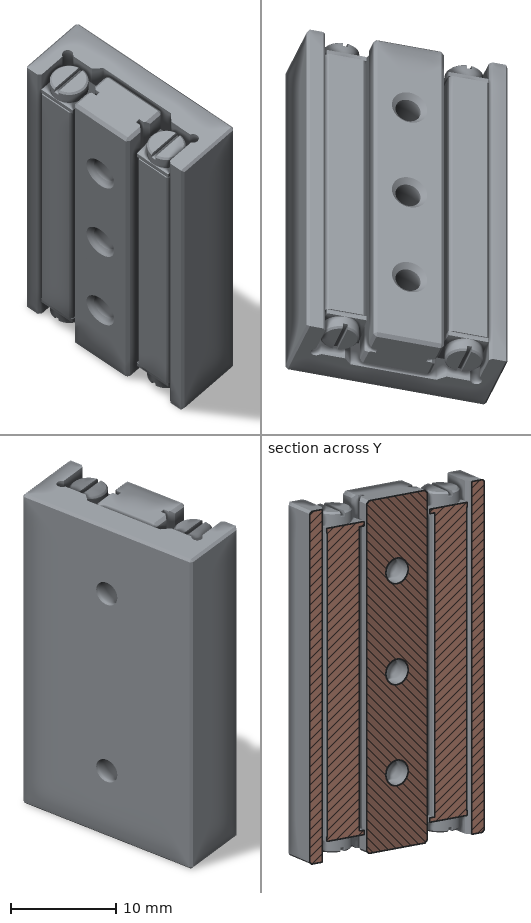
import cadquery as cq

LENGTH = 35.0
CARRIAGE_WIDTH = 20.0
CARRIAGE_DEPTH = 7.5
TOTAL_DEPTH = 8.0
CARRIAGE_CHAMFER = 0.25

BACK_Y = TOTAL_DEPTH / 2
LEG_Y = BACK_Y - CARRIAGE_DEPTH

LEG_THICKNESS = 1.85
CHANNEL_DEPTH = 4.0
CHANNEL_HALF_WIDTH = CARRIAGE_WIDTH / 2 - LEG_THICKNESS
CHANNEL_ROOF_Y = LEG_Y + CHANNEL_DEPTH
LEG_INNER_CHAMFER = 0.28
RECESS_DEPTH = 0.77
RECESS_HALF_WIDTH = 4.27
RELIEF_RADIUS = 0.52
RELIEF_OFFSET = 0.18
RELIEF_RUN = 1.4
DIAGONAL_ANGLE = 45.0

RACE_WIDTH = 4.0
RACE_LENGTH = 30.1
RACE_CHAMFER = 0.28

PLATE_THICKNESS = 0.5
PLATE_CLEARANCE = 0.1
PLATE_WIDTH_AT_ROOF = 4.3
PLATE_WIDTH_AT_FRONT = 3.95

HEAD_DIAMETER = 3.68
HEAD_HEIGHT = 1.33
HEAD_CHAMFER = 0.18
HEAD_X = 6.15
SLOT_WIDTH = 0.5
SLOT_DEPTH = 0.5

RAIL_WIDTH = 7.0
RAIL_DEPTH = 5.0
RAIL_CHAMFER = 0.3
RAIL_FRONT_Y = -TOTAL_DEPTH / 2
GROOVE_Y = RAIL_FRONT_Y + RAIL_DEPTH / 2
GROOVE_HALF_WIDTH = 0.7
GROOVE_SLOT_HALF_WIDTH = 0.25
GROOVE_SLOT_DEPTH = 0.98

HOLE_DIAMETER = 2.5
HOLE_PITCH = 10.0
COUNTERSINK_DIAMETER = 3.5
COUNTERSINK_ANGLE = 90.0


def box(x_min, x_max, y_min, y_max, length):
    """A block centred on Z = 0 between the given X and Y limits."""
    block = cq.Workplane("XY").box(x_max - x_min, y_max - y_min, length)
    return block.translate(((x_min + x_max) / 2, (y_min + y_max) / 2, 0))


def corner_relief_cutter():
    """A round-ended slot running diagonally into the +X corner of the channel."""
    outer_end = (CHANNEL_HALF_WIDTH - RELIEF_OFFSET, CHANNEL_ROOF_Y - RELIEF_OFFSET)
    slot_length = RELIEF_RUN + 2 * RELIEF_RADIUS
    slot = cq.Workplane("XY").slot2D(slot_length, 2 * RELIEF_RADIUS).extrude(LENGTH / 2, both=True)
    slot = slot.translate((-RELIEF_RUN / 2, 0, 0)).rotate((0, 0, 0), (0, 0, 1), DIAGONAL_ANGLE)
    return slot.translate((*outer_end, 0))


def channel_cutter():
    """The channel, with flared mouth, stepped roof and corner reliefs."""
    mouth_half_width = CHANNEL_HALF_WIDTH + LEG_INNER_CHAMFER
    step_half_width = RECESS_HALF_WIDTH + RECESS_DEPTH
    recess_y = CHANNEL_ROOF_Y + RECESS_DEPTH
    right_half = [
        (mouth_half_width, LEG_Y),
        (CHANNEL_HALF_WIDTH, LEG_Y + LEG_INNER_CHAMFER),
        (CHANNEL_HALF_WIDTH, CHANNEL_ROOF_Y),
        (step_half_width, CHANNEL_ROOF_Y),
        (RECESS_HALF_WIDTH, recess_y),
    ]
    left_half = [(-x, y) for x, y in reversed(right_half)]
    channel = cq.Workplane("XY").polyline(right_half + left_half).close().extrude(LENGTH / 2, both=True)
    relief = corner_relief_cutter()
    return channel.union(relief).union(relief.mirror("YZ"))


def carriage_holes():
    """Through holes in the carriage in line with the outer two rail holes."""
    return (
        cq.Workplane("XZ", origin=(0, BACK_Y, 0))
        .pushPoints([(0, side * HOLE_PITCH) for side in (-1, 1)])
        .circle(HOLE_DIAMETER / 2)
        .extrude(CARRIAGE_DEPTH)
    )


def race_strip():
    """The race strip in the +X corner of the channel."""
    strip = box(CHANNEL_HALF_WIDTH - RACE_WIDTH, CHANNEL_HALF_WIDTH, LEG_Y, CHANNEL_ROOF_Y, RACE_LENGTH)
    return strip.edges("|Z").chamfer(RACE_CHAMFER)


def end_plate():
    """The end plate on the +Z end of the +X race strip, with a slanted inner side."""
    outer_x = CHANNEL_HALF_WIDTH - PLATE_CLEARANCE
    front_y = LEG_Y + PLATE_CLEARANCE
    roof_y = CHANNEL_ROOF_Y - PLATE_CLEARANCE
    outline = [
        (outer_x, front_y),
        (outer_x, roof_y),
        (outer_x - PLATE_WIDTH_AT_ROOF, roof_y),
        (outer_x - PLATE_WIDTH_AT_FRONT, front_y),
    ]
    race_end = cq.Workplane("XY", origin=(0, 0, RACE_LENGTH / 2))
    return race_end.polyline(outline).close().extrude(PLATE_THICKNESS)


def screw_head():
    """The slotted screw head on the +Z end plate at +X."""
    base_z = RACE_LENGTH / 2 + PLATE_THICKNESS
    head = (
        cq.Workplane("XY", origin=(HEAD_X, GROOVE_Y, base_z))
        .circle(HEAD_DIAMETER / 2)
        .extrude(HEAD_HEIGHT)
        .faces(">Z")
        .chamfer(HEAD_CHAMFER)
    )
    slot = (
        cq.Workplane("XY", origin=(HEAD_X, GROOVE_Y, base_z + HEAD_HEIGHT - SLOT_DEPTH))
        .rect(SLOT_WIDTH, HEAD_DIAMETER)
        .extrude(SLOT_DEPTH)
    )
    return head.cut(slot)


def make_carriage():
    """The carriage block with its race strips, end plates and screw heads."""
    block = box(-CARRIAGE_WIDTH / 2, CARRIAGE_WIDTH / 2, LEG_Y, BACK_Y, LENGTH)
    block = block.edges("|Z or >Y or <X or >X").chamfer(CARRIAGE_CHAMFER)
    block = block.cut(channel_cutter()).cut(carriage_holes())
    top_end = end_plate().union(screw_head())
    right_race = race_strip().union(top_end).union(top_end.mirror("XY"))
    return block.union(right_race).union(right_race.mirror("YZ"))


def groove_cutter():
    """The V groove with a relief slot along the +X side of the rail."""
    side_x = RAIL_WIDTH / 2
    slot_start_x = side_x - (GROOVE_HALF_WIDTH - GROOVE_SLOT_HALF_WIDTH)
    slot_end_x = side_x - GROOVE_SLOT_DEPTH
    upper_half = [
        (side_x, GROOVE_Y + GROOVE_HALF_WIDTH),
        (slot_start_x, GROOVE_Y + GROOVE_SLOT_HALF_WIDTH),
        (slot_end_x, GROOVE_Y + GROOVE_SLOT_HALF_WIDTH),
    ]
    lower_half = [(x, 2 * GROOVE_Y - y) for x, y in reversed(upper_half)]
    return cq.Workplane("XY").polyline(upper_half + lower_half).close().extrude(LENGTH / 2, both=True)


def make_rail():
    """The chamfered rail with a groove on each side and three countersunk holes."""
    rail = box(-RAIL_WIDTH / 2, RAIL_WIDTH / 2, RAIL_FRONT_Y, RAIL_FRONT_Y + RAIL_DEPTH, LENGTH)
    rail = rail.edges().chamfer(RAIL_CHAMFER)
    groove = groove_cutter()
    rail = rail.cut(groove).cut(groove.mirror("YZ"))
    return (
        rail.faces("<Y")
        .workplane(centerOption="CenterOfBoundBox")
        .pushPoints([(0, step * HOLE_PITCH) for step in (-1, 0, 1)])
        .cskHole(HOLE_DIAMETER, COUNTERSINK_DIAMETER, COUNTERSINK_ANGLE)
    )


carriage = make_carriage()
rail = make_rail()
result = cq.Compound.makeCompound([carriage.val(), rail.val()])